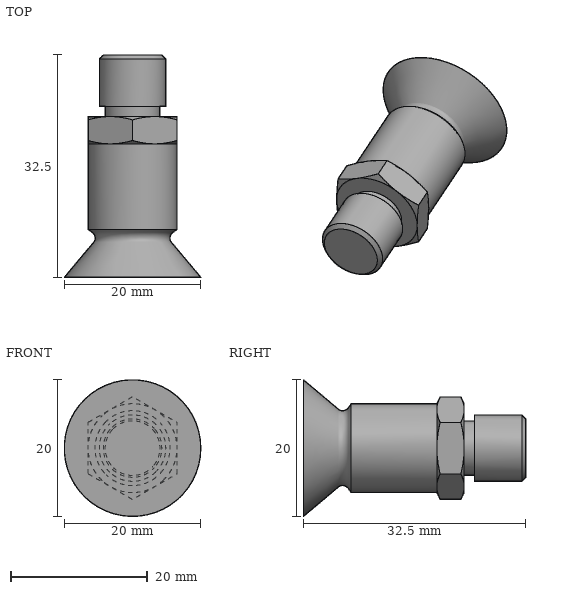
import cadquery as cq
import math

cup_top = 5.2
neck_waist = 5.85
neck_top = 6.55
body_start = 7.0
hex_start = 19.5
hex_end = 23.5
thread_start = 25.0
total_length = 32.5

cup_radius = 20.0 / 2
cup_top_radius = 5.62
neck_waist_radius = 5.5
neck_top_radius = 5.9
body_radius = 13.0 / 2
undercut_radius = 8.0 / 2
thread_radius = 9.72 / 2
thread_chamfer = 0.6

hex_across_flats = 2 * body_radius
hex_corner_radius = hex_across_flats / 2 / math.cos(math.pi / 6)
hex_bevel_height = 0.5


def revolve_about_y(outline):
    return outline.close().revolve(360, (0, 0, 0), (0, 1, 0))


def make_turned_body():
    """Suction cup, concave neck, cylindrical body, undercut and thread shank."""
    outline = (
        cq.Workplane("XY")
        .lineTo(cup_radius, 0)
        .lineTo(cup_top_radius, cup_top)
        .threePointArc((neck_waist_radius, neck_waist), (neck_top_radius, neck_top))
        .lineTo(body_radius, body_start)
        .lineTo(body_radius, hex_start)
        .lineTo(undercut_radius, hex_start)
        .lineTo(undercut_radius, thread_start)
        .lineTo(thread_radius, thread_start)
        .lineTo(thread_radius, total_length - thread_chamfer)
        .lineTo(thread_radius - thread_chamfer, total_length)
        .lineTo(0, total_length)
    )
    return revolve_about_y(outline)


def make_hexagon():
    """Hexagonal prism whose corners are bevelled conically at both ends."""
    prism = (
        cq.Workplane("XZ", origin=(0, hex_start, 0))
        .polygon(6, 2 * hex_corner_radius)
        .extrude(hex_start - hex_end)
        .rotate((0, 0, 0), (0, 1, 0), 30)
    )
    bevel_outline = (
        cq.Workplane("XY")
        .moveTo(0, hex_start)
        .lineTo(body_radius, hex_start)
        .lineTo(hex_corner_radius, hex_start + hex_bevel_height)
        .lineTo(hex_corner_radius, hex_end - hex_bevel_height)
        .lineTo(body_radius, hex_end)
        .lineTo(0, hex_end)
    )
    return prism.intersect(revolve_about_y(bevel_outline))


result = make_turned_body().union(make_hexagon())